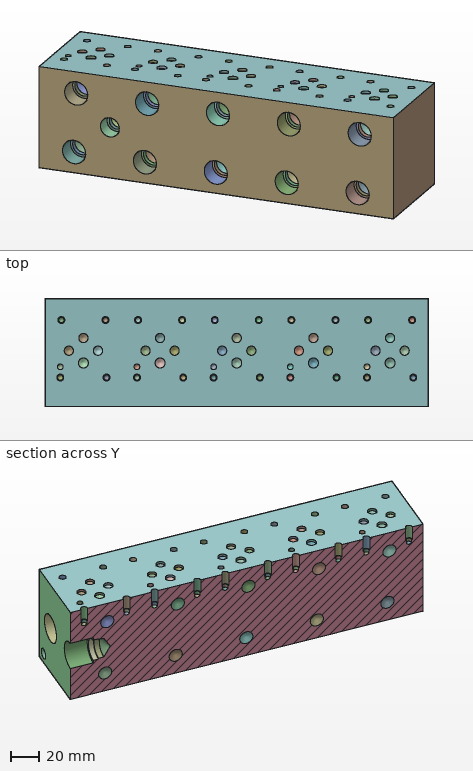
import cadquery as cq
import math

LENGTH = 270.0
SECTION = 76.0
STATIONS = 5
STATION_PITCH = LENGTH / STATIONS
STATION_X = [i * STATION_PITCH for i in range(STATIONS)]
DRILL_TIP_ANGLE = 118.0

WORK_PORT = (17.5, 14.8, 14.3, 19.0)
GAUGE_PORT = (14.3, 12.1, 10.8, 16.2)
END_BOLT = (7.8, 13.5, 6.5, 17.5)
VALVE_BOLT = (4.9, 10.8, 3.8, 13.5)

END_THREAD_D = 21.5
END_THREAD_DEPTH = 17.5
END_TAP_D = 17.3
END_TAP_DEPTH = 21.5
END_PILOT_D = 16.0
END_PILOT_DEPTH = 25.6
END_PORT_SPACING = 35.5
END_BOLT_INSET = 7.8

PORT_A_XZ = (26.7, 15.7)
PORT_B_XZ = (28.3, 60.0)
GAUGE_XZ = (STATION_PITCH, SECTION / 2)

REAR_BOLT_SPAN = 31.0
PATTERN_X = (STATION_PITCH - REAR_BOLT_SPAN) / 2
PATTERN_Y = 61.0
FRONT_BOLT_OVERHANG = 0.75
FRONT_BOLT_Y = 40.5
PIN_Y = 33.0
PIN_D = 4.0
PIN_DEPTH = 4.0
VALVE_CENTRE_X = REAR_BOLT_SPAN / 2
SIDE_HOLE_OFFSET = 10.3
SIDE_HOLE_Y = 21.5
TANK_HOLE_Y = 12.7
PRESSURE_HOLE_Y = 30.2
VALVE_HOLE_D = 6.5
PRESSURE_HOLE_D = 7.0
VALVE_HOLE_DEPTH = 2.0


def drill(*steps):
    """Cutter along -Z from the origin: (diameter, depth) steps, then a conical tip."""
    points = [(0, 0)]
    top = 0
    for diameter, depth in steps:
        points += [(diameter / 2, -top), (diameter / 2, -depth)]
        top = depth
    tip_length = steps[-1][0] / 2 / math.tan(math.radians(DRILL_TIP_ANGLE / 2))
    points.append((0, -top - tip_length))
    return cq.Workplane("XZ").polyline(points).close().revolve(360, (0, 0), (0, 1))


def threaded(thread_d, thread_depth, drill_d, drill_depth):
    return drill((thread_d, thread_depth), (drill_d, drill_depth))


def from_top(cutter, x, y):
    return cutter.translate((x, y, SECTION)).val()


def from_front(cutter, x, z):
    return cutter.rotate((0, 0, 0), (1, 0, 0), 90).translate((x, 0, z)).val()


def from_left_end(cutter, y, z):
    return cutter.rotate((0, 0, 0), (0, 1, 0), -90).translate((0, y, z)).val()


def valve_cutters():
    """One valve pattern, as (cutter, x, y) with y running towards the front."""
    bolt = threaded(*VALVE_BOLT)
    valve_hole = drill((VALVE_HOLE_D, VALVE_HOLE_DEPTH))
    pressure_hole = drill((PRESSURE_HOLE_D, VALVE_HOLE_DEPTH))
    return [
        (bolt, 0, 0),
        (bolt, REAR_BOLT_SPAN, 0),
        (bolt, -FRONT_BOLT_OVERHANG, FRONT_BOLT_Y),
        (bolt, REAR_BOLT_SPAN + FRONT_BOLT_OVERHANG, FRONT_BOLT_Y),
        (drill((PIN_D, PIN_DEPTH)), -FRONT_BOLT_OVERHANG, PIN_Y),
        (valve_hole, VALVE_CENTRE_X - SIDE_HOLE_OFFSET, SIDE_HOLE_Y),
        (valve_hole, VALVE_CENTRE_X + SIDE_HOLE_OFFSET, SIDE_HOLE_Y),
        (valve_hole, VALVE_CENTRE_X, TANK_HOLE_Y),
        (pressure_hole, VALVE_CENTRE_X, PRESSURE_HOLE_Y),
    ]


def station_holes():
    pattern = valve_cutters()
    work_port = threaded(*WORK_PORT)
    holes = []
    for station_x in STATION_X:
        for cutter, x, y in pattern:
            holes.append(from_top(cutter, station_x + PATTERN_X + x, PATTERN_Y - y))
        for x, z in (PORT_A_XZ, PORT_B_XZ):
            holes.append(from_front(work_port, station_x + x, z))
    return holes


def end_holes():
    """Two supply ports and two mounting bolt holes, mirrored about the middle of the end."""
    port = drill(
        (END_THREAD_D, END_THREAD_DEPTH),
        (END_TAP_D, END_TAP_DEPTH),
        (END_PILOT_D, END_PILOT_DEPTH),
    )
    bolt = threaded(*END_BOLT)
    holes = []
    for side in (-1, 1):
        port_y = SECTION / 2 + side * END_PORT_SPACING / 2
        bolt_y = SECTION / 2 + side * (SECTION / 2 - END_BOLT_INSET)
        holes.append(from_left_end(port, port_y, SECTION / 2))
        holes.append(from_left_end(bolt, bolt_y, END_BOLT_INSET))
    return holes


block = cq.Workplane("XY").box(LENGTH, SECTION, SECTION, centered=False)
gauge_hole = from_front(threaded(*GAUGE_PORT), *GAUGE_XZ)
cutters = station_holes() + end_holes() + [gauge_hole]

result = block.cut(cq.Workplane(cq.Compound.makeCompound(cutters)))